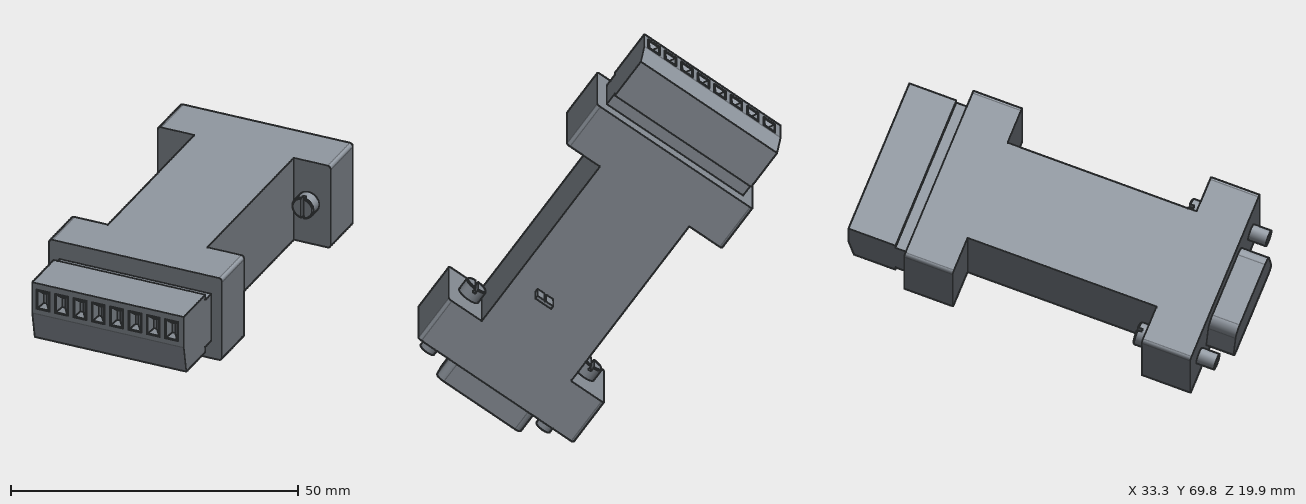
import cadquery as cq
import math


overall_length = 69.8

housing_length = 53.5
housing_height = 16.35
flange_width = 33.3
flange_length = 9.1
flange_corner_radius = 0.6
waist_width = 19.1

plug_width = 29.2
plug_height = 11.45
plug_neck_height = 9.35
plug_neck_length = 2.45
plug_length = 11.25
plug_slope_top = -0.35
plug_slope_setback = 1.05

entry_count = 8
entry_row_span = 24.7
entry_row_center_x = -0.15
entry_width = 2.5
entry_height = 3.8
entry_center_z = 2.5
entry_recess_depth = 0.15
entry_side_ledge = 0.2
entry_end_ledge = 0.15
funnel_depth = 0.8
funnel_floor_width = 0.55
funnel_floor_height = 1.9

shell_length = overall_length - housing_length - plug_length
shell_height = 8.6
shell_mid_width = 17.05
shell_side_angle = 10
shell_top_radius = 2.0
shell_bottom_radius = 1.4

screw_spacing = 24.8
screw_shank_diameter = 2.9
screw_shank_reach = 3.3
screw_head_diameter = 4.1
screw_head_length = 2.5
screw_head_chamfer = 0.2
screw_slot_width = 0.55
screw_slot_depth = 0.9

tab_width = 3.35
tab_thickness = 0.6
tab_drop = 3.5
tab_center_x = -3.5
tab_rear_setback = 19.0
tab_groove_width = 0.4
tab_groove_depth = 0.2

front_y = -housing_length / 2
rear_y = housing_length / 2
plug_face_y = front_y - plug_length
bottom_z = -housing_height / 2


def y_plane(y):
    """Plane facing -Y at the given Y: local x is X, local y is Z."""
    return cq.Workplane("XZ", origin=(0, y, 0))


def make_flange(center_y):
    return (
        cq.Workplane("XY")
        .box(flange_width, flange_length, housing_height)
        .edges("|Y")
        .fillet(flange_corner_radius)
        .translate((0, center_y, 0))
    )


def make_housing():
    flange_center_y = (housing_length - flange_length) / 2
    waist = cq.Workplane("XY").box(waist_width, housing_length - flange_length, housing_height)
    return waist.union(make_flange(flange_center_y)).union(make_flange(-flange_center_y))


def make_plug():
    """Side profile in the YZ plane, extruded across the plug width."""
    step_y = front_y - plug_neck_length
    half_height = plug_height / 2
    half_neck = plug_neck_height / 2
    return (
        cq.Workplane("YZ")
        .polyline([
            (front_y, half_neck),
            (step_y, half_neck),
            (step_y, half_height),
            (plug_face_y, half_height),
            (plug_face_y, plug_slope_top),
            (plug_face_y + plug_slope_setback, -half_height),
            (step_y, -half_height),
            (step_y, -half_neck),
            (front_y, -half_neck),
        ])
        .close()
        .extrude(plug_width / 2, both=True)
    )


def make_wire_entry(center_x):
    """Cutter for one wire entry."""
    recess = (
        y_plane(plug_face_y)
        .center(center_x, entry_center_z)
        .rect(entry_width, entry_height)
        .extrude(-entry_recess_depth)
    )
    funnel = (
        y_plane(plug_face_y + entry_recess_depth)
        .center(center_x, entry_center_z)
        .rect(entry_width - 2 * entry_side_ledge, entry_height - 2 * entry_end_ledge)
        .workplane(offset=-funnel_depth)
        .rect(funnel_floor_width, funnel_floor_height)
        .loft()
    )
    return recess.union(funnel)


def make_shell():
    half_height = shell_height / 2
    half_mid = shell_mid_width / 2
    side_shift = half_height * math.tan(math.radians(shell_side_angle))
    top_half = half_mid - side_shift
    bottom_half = half_mid + side_shift
    return (
        y_plane(rear_y)
        .polyline([
            (-top_half, half_height),
            (top_half, half_height),
            (bottom_half, -half_height),
            (-bottom_half, -half_height),
        ])
        .close()
        .extrude(-shell_length)
        .edges("|Y and >Z")
        .fillet(shell_top_radius)
        .edges("|Y and <Z")
        .fillet(shell_bottom_radius)
    )


def make_screw(center_x):
    """Slotted head in front of the rear flange, shank end behind it."""
    head_seat_y = rear_y - flange_length
    head_face_y = head_seat_y - screw_head_length
    head = (
        y_plane(head_seat_y)
        .center(center_x, 0)
        .circle(screw_head_diameter / 2)
        .extrude(screw_head_length)
        .faces("<Y")
        .chamfer(screw_head_chamfer)
    )
    slot = (
        y_plane(head_face_y)
        .center(center_x, 0)
        .rect(screw_slot_width, screw_head_diameter)
        .extrude(-screw_slot_depth)
    )
    shank = (
        y_plane(head_seat_y)
        .center(center_x, 0)
        .circle(screw_shank_diameter / 2)
        .extrude(-(flange_length + screw_shank_reach))
    )
    return head.cut(slot).union(shank)


def make_tab():
    tab_front_y = rear_y - tab_rear_setback - tab_thickness
    half_groove = tab_groove_width / 2
    half_width = tab_width / 2
    return (
        cq.Workplane("XY", origin=(tab_center_x, tab_front_y, bottom_z))
        .polyline([
            (-half_width, 0),
            (-half_groove, 0),
            (0, tab_groove_depth),
            (half_groove, 0),
            (half_width, 0),
            (half_width, tab_thickness),
            (-half_width, tab_thickness),
        ])
        .close()
        .extrude(-tab_drop)
    )


result = make_housing().union(make_plug()).union(make_shell()).union(make_tab())

for side in (-1, 1):
    result = result.union(make_screw(side * screw_spacing / 2))

for index in range(entry_count):
    entry_offset = (index / (entry_count - 1) - 0.5) * entry_row_span
    result = result.cut(make_wire_entry(entry_row_center_x + entry_offset))